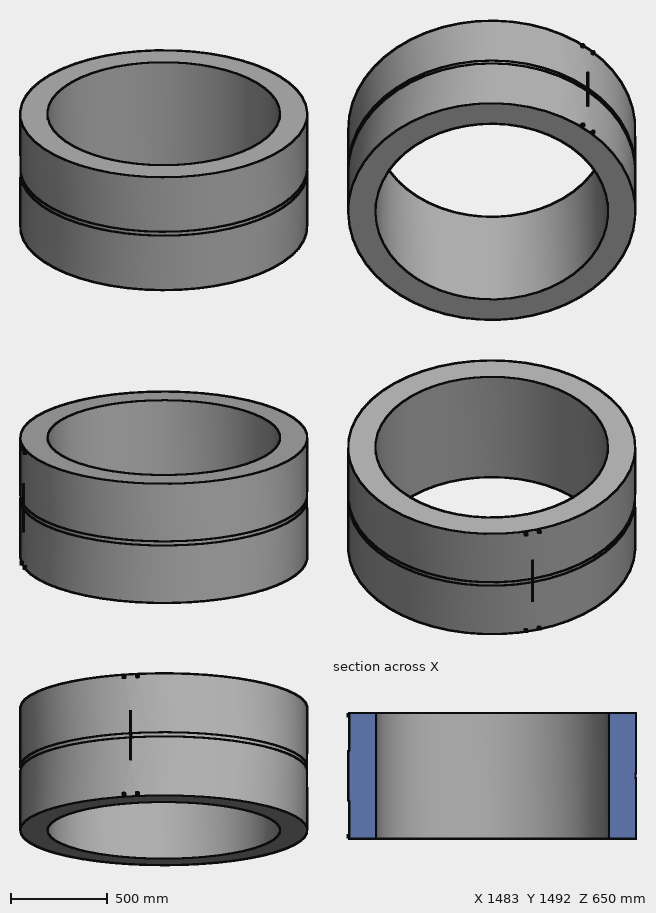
import cadquery as cq

height = 650.0
outer_diameter = 1483.0
bore_diameter = 1200.0

groove_width = 22.0
groove_depth = 0.7

stud_diameter = 13.0
stud_spacing = 72.0
stud_end_gap = 6.0
overall_depth = 1492.0

rib_width = 5.0
rib_length = 257.0
rib_rise = 5.0

outer_radius = outer_diameter / 2
bore_radius = bore_diameter / 2
stud_tip = overall_depth - outer_radius
stud_z = height / 2 - stud_end_gap - stud_diameter / 2
root_y = (bore_radius + outer_radius) / 2


def make_tube(outside, inside, length):
    """Tube along Z, centred on the origin."""
    base = cq.Workplane("XY", origin=(0, 0, -length / 2))
    return base.circle(outside).circle(inside).extrude(length)


def make_ring():
    """Plain ring with the shallow groove around its middle."""
    ring = make_tube(outer_radius, bore_radius, height)
    groove = make_tube(outer_radius + groove_depth, outer_radius - groove_depth, groove_width)
    return ring.cut(groove)


def make_studs():
    """Two studs near each end of the ring, pointing along +Y."""
    return (
        cq.Workplane("XZ", origin=(0, root_y, 0))
        .rarray(stud_spacing, 2 * stud_z, 2, 2)
        .circle(stud_diameter / 2)
        .extrude(root_y - stud_tip)
    )


def make_rib():
    """Thin rib along Z on the +Y side, centred on the groove."""
    rib_tip = outer_radius + rib_rise
    return (
        cq.Workplane("XZ", origin=(0, root_y, 0))
        .rect(rib_width, rib_length)
        .extrude(root_y - rib_tip)
    )


result = make_ring().union(make_studs()).union(make_rib())